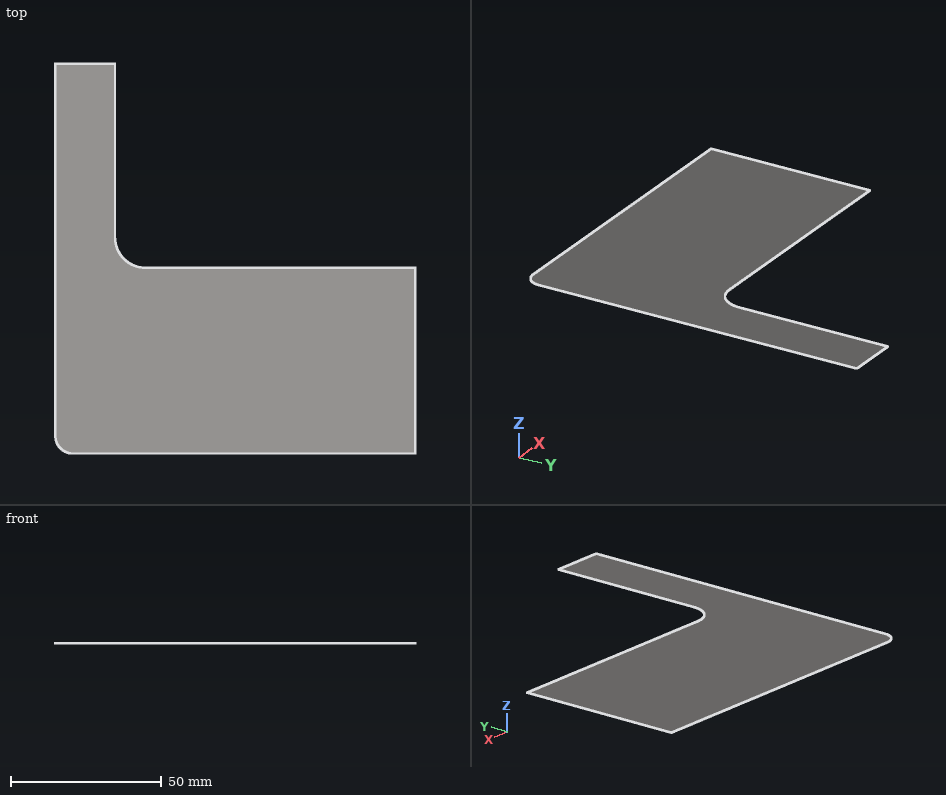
import cadquery as cq

length_x = 120.0
length_y = 130.0
thickness = 0.1

arm_width = 20.0
base_width = 62.0

inner_radius = 10.0
outer_radius = 6.0


def l_sheet():
    """L-shaped blank with its outer corner at the origin."""
    outline = [
        (0, 0),
        (length_x, 0),
        (length_x, base_width),
        (arm_width, base_width),
        (arm_width, length_y),
        (0, length_y),
    ]
    return cq.Workplane("XY").polyline(outline).close().extrude(thickness)


def round_corner(sheet, x, y, radius):
    """Round the upright edge nearest to the point (x, y)."""
    corner = cq.selectors.NearestToPointSelector((x, y, thickness / 2))
    return sheet.edges("|Z").edges(corner).fillet(radius)


sheet = l_sheet()
sheet = round_corner(sheet, arm_width, base_width, inner_radius)
sheet = round_corner(sheet, 0, 0, outer_radius)

result = sheet